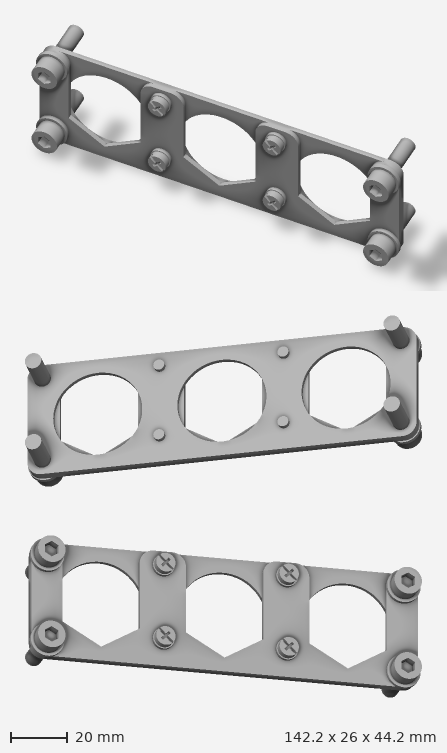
import cadquery as cq
import math

SHEET = 1.8
PLATE = 2 * SHEET
PLATE_LENGTH = 141.0
PLATE_HEIGHT = 43.0
CORNER_RADIUS = 5.0

OPENING_PITCH = 45.0
OPENING_CENTERS = (-OPENING_PITCH, 0.0, OPENING_PITCH)
HOLE_RADIUS = 16.15
POCKET_WIDTH = 28.2
POCKET_SIDE = POCKET_WIDTH / (2 * math.sqrt(3))
POCKET_POINT = POCKET_WIDTH / math.sqrt(3)

BOLT_X = 65.0
BOLT_Z = 16.0
BOLT_DIAMETER = 6.0
BOLT_LENGTH = 20.0
BOLT_HEAD_DIAMETER = 10.0
BOLT_HEAD_HEIGHT = 6.0
BOLT_WASHER_DIAMETER = 12.2
BOLT_WASHER = 1.6
SOCKET_ACROSS_FLATS = 5.0
SOCKET_DEPTH = 4.0

SCREW_X = OPENING_PITCH / 2
SCREW_Z = (BOLT_Z, -11.5)
SCREW_DIAMETER = 4.0
SCREW_TIP = 1.7
SCREW_HEAD_DIAMETER = 7.0
SCREW_HEAD_HEIGHT = 2.8
SCREW_WASHER_DIAMETER = 7.8
SCREW_WASHER = 1.4
RECESS_WIDTH = 1.0
RECESS_SPAN = 4.0
RECESS_DEPTH = 1.6
RECESS_ANGLE = 45.0


def plane_at(y):
    """XZ work plane at depth y; extruding by a positive length goes toward -Y."""
    return cq.Workplane("XZ", origin=(0, y, 0))


def disc(x, z, diameter, y_rear, y_front):
    """Cylinder along Y centered on (x, z), from y_rear forward to y_front."""
    return plane_at(y_rear).center(x, z).circle(diameter / 2).extrude(y_rear - y_front)


def make_pocket(x):
    """Front-sheet opening: V-shaped floor, straight sides, and flared top that rounds the strips."""
    half = POCKET_WIDTH / 2
    top = PLATE_HEIGHT / 2
    shoulder = top - CORNER_RADIUS
    arc_in = CORNER_RADIUS * (1 - math.sqrt(0.5))
    return (
        plane_at(SHEET)
        .moveTo(x, -POCKET_POINT)
        .lineTo(x + half, -POCKET_SIDE)
        .lineTo(x + half, shoulder)
        .threePointArc((x + half + arc_in, top - arc_in), (x + half + CORNER_RADIUS, top))
        .lineTo(x - half - CORNER_RADIUS, top)
        .threePointArc((x - half - arc_in, top - arc_in), (x - half, shoulder))
        .lineTo(x - half, -POCKET_SIDE)
        .close()
        .extrude(SHEET)
    )


def make_plate():
    plate = plane_at(PLATE).rect(PLATE_LENGTH, PLATE_HEIGHT).extrude(PLATE)
    plate = plate.edges("|Y").fillet(CORNER_RADIUS)
    for x in OPENING_CENTERS:
        plate = plate.cut(disc(x, 0, 2 * HOLE_RADIUS, PLATE, SHEET))
        plate = plate.cut(make_pocket(x))
    return plate


def make_bolt(x, z):
    """Socket-head bolt with its washer, passing through the plate."""
    seat = -BOLT_WASHER
    head_face = seat - BOLT_HEAD_HEIGHT
    socket = (
        plane_at(head_face + SOCKET_DEPTH)
        .center(x, z)
        .polygon(6, SOCKET_ACROSS_FLATS, circumscribed=True)
        .extrude(SOCKET_DEPTH)
    )
    return (
        disc(x, z, BOLT_DIAMETER, seat + BOLT_LENGTH, seat)
        .union(disc(x, z, BOLT_WASHER_DIAMETER, 0, seat))
        .union(disc(x, z, BOLT_HEAD_DIAMETER, seat, head_face))
        .cut(socket)
    )


def make_recess_bar(x, z, y_floor, length, angle):
    """One bar of the cross recess, open toward -Y."""
    return (
        plane_at(y_floor)
        .center(x, z)
        .transformed(rotate=(0, 0, angle))
        .rect(length, RECESS_WIDTH)
        .extrude(RECESS_DEPTH)
    )


def make_screw(x, z):
    """Small screw with washer; one bar of its cross recess runs right across the head."""
    seat = -SCREW_WASHER
    head_face = seat - SCREW_HEAD_HEIGHT
    floor = head_face + RECESS_DEPTH
    return (
        disc(x, z, SCREW_DIAMETER, PLATE + SCREW_TIP, seat)
        .union(disc(x, z, SCREW_WASHER_DIAMETER, 0, seat))
        .union(disc(x, z, SCREW_HEAD_DIAMETER, seat, head_face))
        .cut(make_recess_bar(x, z, floor, RECESS_SPAN, RECESS_ANGLE))
        .cut(make_recess_bar(x, z, floor, 2 * SCREW_HEAD_DIAMETER, -RECESS_ANGLE))
    )


result = make_plate()
for side in (-1, 1):
    for bolt_z in (-BOLT_Z, BOLT_Z):
        result = result.union(make_bolt(side * BOLT_X, bolt_z))
    for screw_z in SCREW_Z:
        result = result.union(make_screw(side * SCREW_X, screw_z))